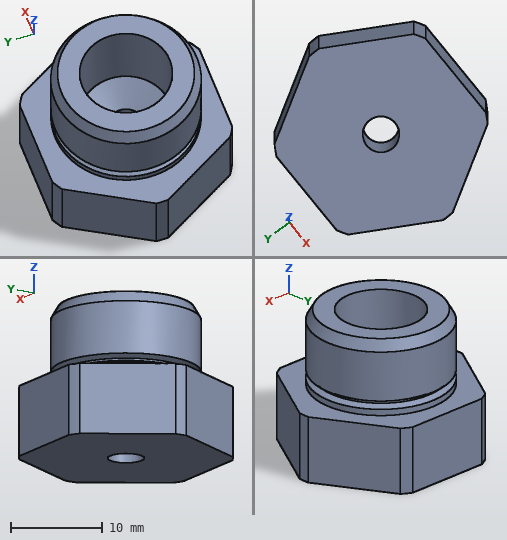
import cadquery as cq
import math

across_flats = 21.0
across_corners = 23.5
head_height = 8.0

total_height = 17.0
spigot_diameter = 16.55
tip_diameter = 15.05
tip_chamfer_height = 1.3

collar_height = 0.75
groove_diameter = 15.0
groove_flank_height = 0.38
groove_floor_height = 0.25

bore_diameter = 10.2
hole_diameter = 4.0
bore_depth = total_height - head_height
drill_point_angle = 118.0


def make_head():
    hexagon_diameter = across_flats / math.cos(math.radians(30))
    hexagon = cq.Workplane("XY").polygon(6, hexagon_diameter).extrude(head_height)
    corner_turning = cq.Workplane("XY").circle(across_corners / 2).extrude(head_height)
    return hexagon.intersect(corner_turning)


def make_spigot():
    outer_radius = spigot_diameter / 2
    groove_radius = groove_diameter / 2
    groove_bottom = head_height + collar_height
    floor_bottom = groove_bottom + groove_flank_height
    floor_top = floor_bottom + groove_floor_height
    groove_top = floor_top + groove_flank_height
    profile = [
        (0, head_height),
        (outer_radius, head_height),
        (outer_radius, groove_bottom),
        (groove_radius, floor_bottom),
        (groove_radius, floor_top),
        (outer_radius, groove_top),
        (outer_radius, total_height - tip_chamfer_height),
        (tip_diameter / 2, total_height),
        (0, total_height),
    ]
    return cq.Workplane("XZ").polyline(profile).close().revolve(360, (0, 0), (0, 1))


def make_bore():
    bore_radius = bore_diameter / 2
    hole_radius = hole_diameter / 2
    cone_top = total_height - bore_depth
    cone_height = (bore_radius - hole_radius) / math.tan(math.radians(drill_point_angle / 2))
    profile = [
        (0, 0),
        (hole_radius, 0),
        (hole_radius, cone_top - cone_height),
        (bore_radius, cone_top),
        (bore_radius, total_height),
        (0, total_height),
    ]
    return cq.Workplane("XZ").polyline(profile).close().revolve(360, (0, 0), (0, 1))


result = make_head().union(make_spigot()).cut(make_bore())